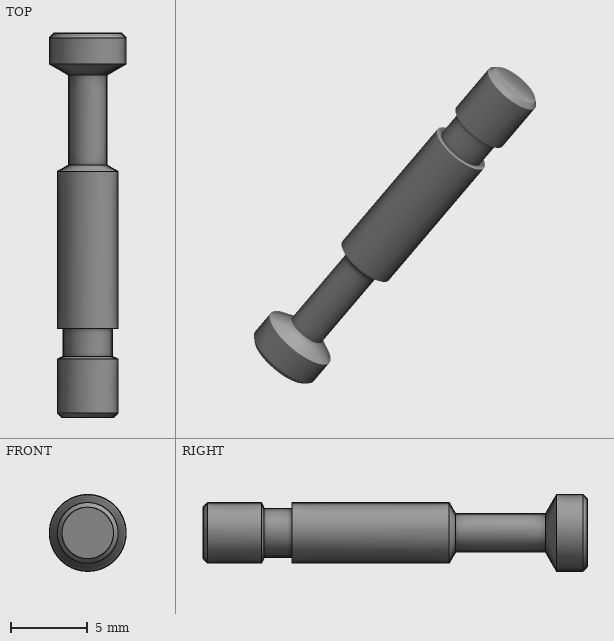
import cadquery as cq
import math

length = 25.0
head_diameter = 5.0
body_diameter = 3.95
neck_diameter = 2.5
groove_diameter = 3.2

head_rim_length = 2.0
head_to_body = 9.0
tip_length = 3.8
groove_cone_length = 0.17
groove_end = 5.78
end_chamfer = 0.3
neck_cone_angle = 30.0

head_radius = head_diameter / 2
body_radius = body_diameter / 2
neck_radius = neck_diameter / 2
groove_radius = groove_diameter / 2


def neck_cone_length(large_radius):
    """Axial length of the conical shoulder from a larger radius down to the neck."""
    return (large_radius - neck_radius) * math.tan(math.radians(neck_cone_angle))


groove_start = tip_length + groove_cone_length
body_end = length - head_to_body
neck_start = body_end + neck_cone_length(body_radius)
head_start = length - head_rim_length
neck_end = head_start - neck_cone_length(head_radius)

half_section = [
    (0, 0),
    (0, body_radius - end_chamfer),
    (end_chamfer, body_radius),
    (tip_length, body_radius),
    (groove_start, groove_radius),
    (groove_end, groove_radius),
    (groove_end, body_radius),
    (body_end, body_radius),
    (neck_start, neck_radius),
    (neck_end, neck_radius),
    (head_start, head_radius),
    (length - end_chamfer, head_radius),
    (length, head_radius - end_chamfer),
    (length, 0),
]

full_turn = 360
axis_start = (0, 0, 0)
axis_end = (1, 0, 0)
result = cq.Workplane("YZ").polyline(half_section).close().revolve(full_turn, axis_start, axis_end)